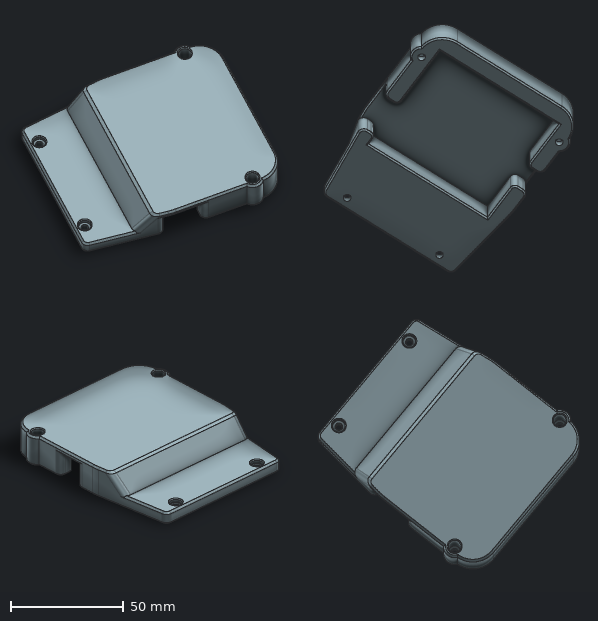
import cadquery as cq
import math

length = 96.5
body_width = 80.5
rear_corner_radius = 12.0
front_corner_radius = 3.0
taper_start_y = -7.2
taper_angle = math.radians(7)
taper_blend_radius = 29.9

cover_height = 15.0
ledge_height = 6.0
roof_thickness = 3.0

top_chamfer = 1.0
bottom_chamfer = 0.8

ramp_foot_y = -25.0
ramp_side_radius = 3.0

lug_x = 37.3
lug_y = 33.1
lug_diameter = 10.0
ledge_screw_x = 25.0
ledge_screw_y = -43.3
screw_diameter = 3.3
head_diameter = 5.7
head_seat_z = 4.0
head_chamfer = 0.5

wall_thickness = 8.0
left_opening_low_y = 4.4
left_opening_width = 10.8
right_opening_high_y = 7.4
right_opening_width = 17.95
opening_outer_radius = 3.0
opening_inner_radius = 2.5

half_length = length / 2
half_width = body_width / 2
front_half_width = half_width - (taper_start_y + half_length) * math.tan(taper_angle)
ramp_top_y = ramp_foot_y + cover_height - ledge_height
ramp_base_y = ramp_foot_y - ledge_height
ceiling_z = cover_height - roof_thickness
cavity_half_width = half_width - wall_thickness
right_opening_low_y = right_opening_high_y - right_opening_width
cavity_rear_y = half_length - wall_thickness


def outline_block(height):
    """Vertical block with the tapered outline and rounded corners."""
    right_side = [
        (front_half_width, -half_length),
        (half_width, taper_start_y),
        (half_width, half_length),
    ]
    left_side = [(-x, y) for x, y in reversed(right_side)]
    block = cq.Workplane("XY").polyline(right_side + left_side).close().extrude(height)
    block = block.edges("|Z and >Y").fillet(rear_corner_radius)
    block = block.edges("|Z and <Y").fillet(front_corner_radius)
    margin = 1.0
    taper_edges = cq.selectors.BoxSelector(
        (-length, taper_start_y - margin, 0), (length, taper_start_y + margin, height)
    )
    return block.edges("|Z").edges(taper_edges).fillet(taper_blend_radius)


def front_ledge():
    """Low plate that carries the two front screws."""
    return outline_block(ledge_height).faces(">Z").chamfer(top_chamfer)


def raised_cover():
    """Full-height block with the ramp and its rounded sides."""
    in_front_of_ramp = (
        cq.Workplane("YZ")
        .polyline([
            (ramp_base_y, 0),
            (ramp_top_y, cover_height),
            (-length, cover_height),
            (-length, 0),
        ])
        .close()
        .extrude(length, both=True)
    )
    cover = outline_block(cover_height).cut(in_front_of_ramp)
    cover = cover.faces("<Y").edges("not |X").fillet(ramp_side_radius)
    return cover.faces(">Z").chamfer(top_chamfer)


def screw_lug(side):
    """Half-round lug on one side wall (side is -1 or +1), broken at both ends."""
    lug = cq.Workplane("XY").center(side * lug_x, lug_y).circle(lug_diameter / 2).extrude(cover_height)
    lug = lug.faces(">Z").chamfer(top_chamfer).faces("<Z").chamfer(bottom_chamfer)
    inner_half = cq.Workplane("XY").center(0, lug_y).rect(2 * lug_x, 2 * lug_diameter).extrude(cover_height)
    return lug.cut(inner_half)


def cavity():
    """Pocket under the roof, open at the bottom."""
    return (
        cq.Workplane("XY")
        .moveTo(0, (cavity_rear_y + ramp_top_y) / 2)
        .rect(2 * cavity_half_width, cavity_rear_y - ramp_top_y)
        .extrude(ceiling_z)
    )


def edges_near(part, side, depths, heights, lengthwise):
    """Edges of one side wall whose centres lie in the given (low, high) ranges.

    Depths are measured inward from the straight stretch of the outer side face.
    """
    low_corner = (side * (half_width - depths[0]), lengthwise[0], heights[0])
    high_corner = (side * (half_width - depths[1]), lengthwise[1], heights[1])
    return part.edges(cq.selectors.BoxSelector(low_corner, high_corner))


def cut_wall_opening(part, side, low_y, width):
    """Open one side wall (side is -1 or +1), round the wall ends and break the lintel edge."""
    high_y = low_y + width
    opening = (
        cq.Workplane("XY")
        .moveTo(side * half_width, low_y + width / 2)
        .rect(2 * wall_thickness, width)
        .extrude(ceiling_z)
    )
    part = part.cut(opening)

    margin = 0.1
    opening_range = (low_y - margin, high_y + margin)
    height_range = (0, ceiling_z)
    outer_depths = (-margin, wall_thickness / 2)
    inner_depths = (wall_thickness - margin, wall_thickness + margin)
    wall_ends = ((outer_depths, opening_outer_radius), (inner_depths, opening_inner_radius))
    for depths, radius in wall_ends:
        part = edges_near(part, side, depths, height_range, opening_range).edges("|Z").fillet(radius)

    ceiling_range = (ceiling_z - margin, ceiling_z + margin)
    lintel = edges_near(part, side, (-margin, opening_outer_radius), ceiling_range, (low_y, high_y))
    return lintel.chamfer(bottom_chamfer)


def screw_cutter(x, y, top_z):
    """Through hole with a flat-bottomed head recess and a broken rim."""
    hole = cq.Workplane("XY").center(x, y).circle(screw_diameter / 2).extrude(top_z)
    recess = (
        cq.Workplane("XY", origin=(x, y, head_seat_z))
        .circle(head_diameter / 2)
        .extrude(top_z - head_seat_z)
    )
    rim = (
        cq.Workplane("XY", origin=(x, y, top_z))
        .circle(head_diameter / 2 + head_chamfer)
        .workplane(offset=-head_chamfer)
        .circle(head_diameter / 2)
        .loft()
    )
    return hole.union(recess).union(rim)


result = raised_cover().union(front_ledge()).cut(cavity())
result = cut_wall_opening(result, -1, left_opening_low_y, left_opening_width)
result = cut_wall_opening(result, 1, right_opening_low_y, right_opening_width)
result = result.faces("<Z").chamfer(bottom_chamfer)
for side in (-1, 1):
    result = result.union(screw_lug(side))
    result = result.cut(screw_cutter(side * lug_x, lug_y, cover_height))
    result = result.cut(screw_cutter(side * ledge_screw_x, ledge_screw_y, ledge_height))